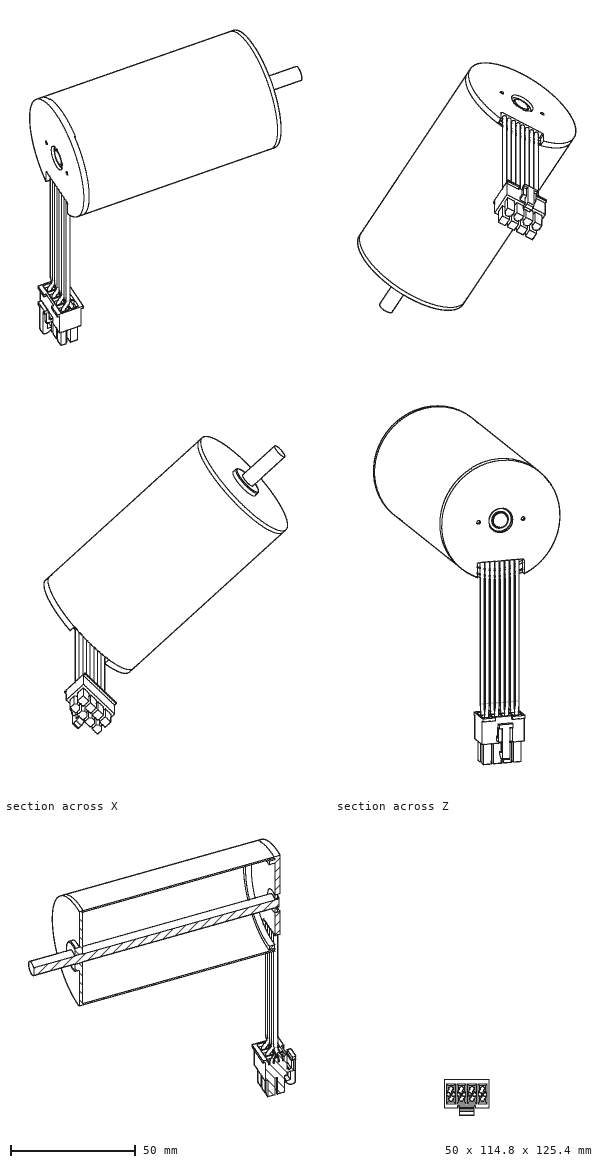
import cadquery as cq


OVERALL_HEIGHT = 125.4

MOTOR_DIA = 50.0
MOTOR_LENGTH = 88.0
CAN_BORE_DIA = 48.0
FRONT_CAP_THICKNESS = 1.6
BOSS_DIA = 13.0
BOSS_HEIGHT = 2.0
BOSS_CHAMFER = 0.4
REAR_CAP_THICKNESS = 2.4
SPIGOT_OUTER_DIA = 47.0
SPIGOT_INNER_DIA = 42.9
SPIGOT_LENGTH = 2.5
TAB_WIDTH = 23.1
TAB_HEIGHT = 0.4
CABLE_NOTCH_WIDTH = 19.8
CABLE_NOTCH_ROOF_Z = -16.8
CABLE_NOTCH_CORNER = 0.5
SCREW_HOLE_DIA = 1.5
SCREW_HOLE_DEPTH = 1.3
SCREW_HOLE_SPACING = 18.8

SHAFT_DIA = 6.0
SHAFT_PROJECTION = 19.9
SHAFT_REAR_Y = 0.5
BEARING_DIA = 10.0
BEARING_RECESS = 1.1
BEARING_RIM_CHAMFER = 0.31
BEARING_BORE_CHAMFER = 0.5

COLUMNS = 4
ROWS = 2
CELL_PITCH = 4.21
WIRE_PITCH = CELL_PITCH / 2
WIRE_DIA = 1.6
WIRE_Y = 1.5
WIRE_BEND_Z = -75.9

CONNECTOR_Y = 1.8
CONNECTOR_WIDTH = 17.9
CONNECTOR_DEPTH = 9.7
CONNECTOR_BOTTOM_Z = MOTOR_DIA / 2 - OVERALL_HEIGHT
CONNECTOR_TOP_Z = -80.7
BODY_BOTTOM_Z = -91.7
RIM_THICKNESS = 1.3
RIM_DEPTH = 11.5
RIM_GAP_WIDTH = 7.0
PIN_SIZE = 3.3
PIN_CHAMFER = 1.0
FUNNEL_TOP_SIZE = 3.8
FUNNEL_DEPTH = 1.0
CAVITY_SIZE = 2.5
CAVITY_DEPTH = 2.8

LATCH_WIDTH = 5.9
LEVER_WIDTH = 3.0
LATCH_FRONT_Y = -6.9
LATCH_BACK_Y = -4.8
LATCH_TOP_Z = -83.0
LATCH_BOTTOM_Z = -97.8
PRESS_PAD_BACK_Y = -5.3
PRESS_PAD_BOTTOM_Z = -84.6
SIDE_RIB_FRONT_Y = -6.0
ARM_TOP_Z = -89.1
ARM_BOTTOM_Z = -90.4
ARM_FILLET = 0.6
HOOK_TOP_Z = -95.2
HOOK_TIP_Y = -3.0
HOOK_TIP_HEIGHT = 1.3
LEVER_TIP_CHAMFER = 0.6

CONNECTOR_FRONT_Y = CONNECTOR_Y - CONNECTOR_DEPTH / 2
CAVITY_FLOOR_Z = CONNECTOR_TOP_Z - CAVITY_DEPTH


def disc(diameter, start_y, end_y):
    """A solid cylinder on the motor axis."""
    return cq.Workplane("XZ", origin=(0, start_y, 0)).circle(diameter / 2).extrude(start_y - end_y)


def block(x_size, y_range, z_range):
    """A box centred on X = 0 that spans the given Y and Z ranges."""
    y_size = y_range[1] - y_range[0]
    z_size = z_range[1] - z_range[0]
    return cq.Workplane("XY").box(x_size, y_size, z_size, centered=(True, False, False)).translate(
        (0, y_range[0], z_range[0])
    )


def make_locating_tab():
    """The shallow arc on top of the rear cap that fits a matching recess in the can's rim."""
    end_y = REAR_CAP_THICKNESS + TAB_HEIGHT
    ring = disc(MOTOR_DIA, REAR_CAP_THICKNESS, end_y).cut(disc(CAN_BORE_DIA, REAR_CAP_THICKNESS, end_y))
    return ring.intersect(block(TAB_WIDTH, (REAR_CAP_THICKNESS, end_y), (0, MOTOR_DIA / 2)))


def make_can():
    front_y = MOTOR_LENGTH - FRONT_CAP_THICKNESS
    tube = disc(MOTOR_DIA, REAR_CAP_THICKNESS, front_y).cut(disc(CAN_BORE_DIA, REAR_CAP_THICKNESS, front_y))
    return tube.cut(make_locating_tab())


def make_front_cap():
    boss_y = MOTOR_LENGTH + BOSS_HEIGHT
    plate = disc(MOTOR_DIA, MOTOR_LENGTH - FRONT_CAP_THICKNESS, MOTOR_LENGTH)
    boss = disc(BOSS_DIA, MOTOR_LENGTH, boss_y).faces(">Y").chamfer(BOSS_CHAMFER)
    bore = disc(SHAFT_DIA, 0, boss_y)
    return plate.union(boss).cut(bore)


def make_rear_cap():
    spigot_y = REAR_CAP_THICKNESS + SPIGOT_LENGTH
    cap = disc(MOTOR_DIA, 0, REAR_CAP_THICKNESS)
    notch = block(CABLE_NOTCH_WIDTH, (0, REAR_CAP_THICKNESS), (-MOTOR_DIA / 2, CABLE_NOTCH_ROOF_Z))
    cap = cap.cut(notch.edges("|Y and >Z").chamfer(CABLE_NOTCH_CORNER))
    cap = cap.cut(disc(BEARING_DIA, 0, REAR_CAP_THICKNESS))
    for x in (-SCREW_HOLE_SPACING / 2, SCREW_HOLE_SPACING / 2):
        cap = cap.cut(disc(SCREW_HOLE_DIA, 0, SCREW_HOLE_DEPTH).translate((x, 0, 0)))
    spigot = disc(SPIGOT_OUTER_DIA, REAR_CAP_THICKNESS, spigot_y)
    spigot = spigot.cut(disc(SPIGOT_INNER_DIA, REAR_CAP_THICKNESS, spigot_y))
    return cap.union(spigot).union(make_locating_tab())


def make_rear_bearing():
    """A flat ring with its rear edges chamfered at the rim and at the bore."""
    ring = disc(BEARING_DIA, BEARING_RECESS, REAR_CAP_THICKNESS).faces("<Y").chamfer(BEARING_RIM_CHAMFER)
    ring = ring.cut(disc(SHAFT_DIA, BEARING_RECESS, REAR_CAP_THICKNESS))
    return ring.faces("<Y").edges(cq.selectors.RadiusNthSelector(0)).chamfer(BEARING_BORE_CHAMFER)


def make_shaft():
    return disc(SHAFT_DIA, SHAFT_REAR_Y, MOTOR_LENGTH + SHAFT_PROJECTION)


def column_x(column):
    return (column - (COLUMNS - 1) / 2) * CELL_PITCH


def row_y(row):
    """Row 0 is the +Y row and row 1 the -Y row."""
    return CONNECTOR_Y + (0.5 - row) * CELL_PITCH


def make_wire(column, row):
    """A straight wire that bends in an S curve to the floor of its connector cavity."""
    x = column_x(column) + (row - 0.5) * WIRE_PITCH
    straight = cq.Workplane("XY", origin=(x, WIRE_Y, WIRE_BEND_Z)).circle(WIRE_DIA / 2)
    straight = straight.extrude(CABLE_NOTCH_ROOF_Z - WIRE_BEND_Z)
    down = cq.Vector(0, 0, -1)
    bend_path = cq.Edge.makeSpline(
        [cq.Vector(x, WIRE_Y, WIRE_BEND_Z), cq.Vector(column_x(column), row_y(row), CAVITY_FLOOR_Z)],
        tangents=[down, down],
    )
    bend = cq.Workplane("XY", origin=(x, WIRE_Y, WIRE_BEND_Z)).circle(WIRE_DIA / 2)
    return straight.union(bend.sweep(cq.Workplane(bend_path)))


def make_cavity(column, row):
    """A square wire entry: a tapered mouth above a straight pocket."""
    mouth = cq.Workplane("XY", origin=(column_x(column), row_y(row), CONNECTOR_TOP_Z))
    funnel = mouth.rect(FUNNEL_TOP_SIZE, FUNNEL_TOP_SIZE).workplane(offset=-FUNNEL_DEPTH)
    funnel = funnel.rect(CAVITY_SIZE, CAVITY_SIZE).loft()
    return funnel.union(mouth.rect(CAVITY_SIZE, CAVITY_SIZE).extrude(-CAVITY_DEPTH))


def make_pin_sleeve(column, row):
    """A square sleeve below the housing; the -Y row has its +Y corners chamfered."""
    sleeve = cq.Workplane("XY", origin=(column_x(column), row_y(row), CONNECTOR_BOTTOM_Z))
    sleeve = sleeve.rect(PIN_SIZE, PIN_SIZE).extrude(BODY_BOTTOM_Z - CONNECTOR_BOTTOM_Z)
    if row == 1:
        sleeve = sleeve.edges("|Z and >Y").chamfer(PIN_CHAMFER)
    return sleeve


def make_latch():
    """A press pad and lever on a short arm, with two side ribs and a hook at the bottom."""
    lever = (
        cq.Workplane("YZ")
        .moveTo(LATCH_FRONT_Y, PRESS_PAD_BOTTOM_Z)
        .lineTo(LATCH_FRONT_Y, LATCH_BOTTOM_Z + LEVER_TIP_CHAMFER)
        .lineTo(LATCH_FRONT_Y + LEVER_TIP_CHAMFER, LATCH_BOTTOM_Z)
        .lineTo(LATCH_BACK_Y, LATCH_BOTTOM_Z)
        .lineTo(HOOK_TIP_Y, HOOK_TOP_Z - HOOK_TIP_HEIGHT)
        .lineTo(HOOK_TIP_Y, HOOK_TOP_Z)
        .lineTo(LATCH_BACK_Y, HOOK_TOP_Z)
        .lineTo(LATCH_BACK_Y, PRESS_PAD_BOTTOM_Z)
        .close()
        .extrude(LEVER_WIDTH / 2, both=True)
    )
    arm = (
        cq.Workplane("YZ")
        .moveTo(SIDE_RIB_FRONT_Y, PRESS_PAD_BOTTOM_Z)
        .lineTo(SIDE_RIB_FRONT_Y, ARM_BOTTOM_Z)
        .lineTo(CONNECTOR_FRONT_Y, ARM_BOTTOM_Z)
        .lineTo(CONNECTOR_FRONT_Y, ARM_TOP_Z + ARM_FILLET)
        .radiusArc((CONNECTOR_FRONT_Y - ARM_FILLET, ARM_TOP_Z), -ARM_FILLET)
        .lineTo(LATCH_BACK_Y + ARM_FILLET, ARM_TOP_Z)
        .radiusArc((LATCH_BACK_Y, ARM_TOP_Z + ARM_FILLET), -ARM_FILLET)
        .lineTo(LATCH_BACK_Y, PRESS_PAD_BOTTOM_Z)
        .close()
        .extrude(LATCH_WIDTH / 2, both=True)
    )
    press_pad = block(LATCH_WIDTH, (LATCH_FRONT_Y, PRESS_PAD_BACK_Y), (PRESS_PAD_BOTTOM_Z, LATCH_TOP_Z))
    return lever.union(arm).union(press_pad)


def make_connector_housing():
    y_range = (CONNECTOR_FRONT_Y, CONNECTOR_Y + CONNECTOR_DEPTH / 2)
    rim_y_range = (CONNECTOR_Y - RIM_DEPTH / 2, CONNECTOR_Y + RIM_DEPTH / 2)
    rim_z_range = (CONNECTOR_TOP_Z - RIM_THICKNESS, CONNECTOR_TOP_Z)
    housing = block(CONNECTOR_WIDTH, y_range, (BODY_BOTTOM_Z, CONNECTOR_TOP_Z))
    rim = block(CONNECTOR_WIDTH, rim_y_range, rim_z_range)
    rim_gap = block(RIM_GAP_WIDTH, (rim_y_range[0], CONNECTOR_FRONT_Y), rim_z_range)
    return housing.union(rim.cut(rim_gap)).union(make_latch())


def make_cable():
    """The connector with its eight wires, which are fixed in its cavities."""
    cable = make_connector_housing()
    for column in range(COLUMNS):
        for row in range(ROWS):
            cable = cable.union(make_pin_sleeve(column, row))
            cable = cable.cut(make_cavity(column, row))
            cable = cable.union(make_wire(column, row))
    return cable


can = make_can()
front_cap = make_front_cap()
rear_cap = make_rear_cap()
rear_bearing = make_rear_bearing()
shaft = make_shaft()
cable = make_cable()

result = cq.Compound.makeCompound(
    [can.val(), front_cap.val(), rear_cap.val(), rear_bearing.val(), shaft.val(), cable.val()]
)